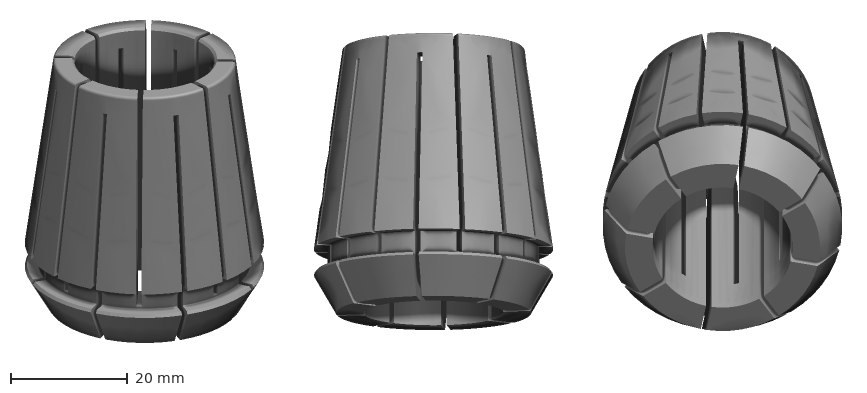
import cadquery as cq
import math

HEIGHT = 46.0
MAX_RADIUS = 41.0 / 2
BORE_RADIUS = 24.0 / 2
TAPER_ANGLE = 8.0
NOSE_ANGLE = 30.0

FLANGE_RIM_Z = 6.6
FLANGE_TOP_Z = 7.1
FLANGE_CHAMFER_WIDTH = 0.35
GROOVE_TOP_Z = 11.05
GROOVE_RADIUS = 18.12
GROOVE_FILLET = 0.25

RIM_FILLET = 0.55
BORE_CHAMFER = 0.4

SLOTS_PER_END = 8
SLOT_WIDTH = 0.95
BLADE_OVERRUN = 0.45
LOWER_SLOT_TOP_Z = 42.5
UPPER_SLOT_FLOOR_Z = 7.6


def taper_radius(z):
    """Outer radius of the long taper at height z."""
    return MAX_RADIUS - (z - GROOVE_TOP_Z) * math.tan(math.radians(TAPER_ANGLE))


def revolved_body():
    """Collet sleeve with its bore, groove and flange, still without slots."""
    nose_radius = MAX_RADIUS - FLANGE_RIM_Z * math.tan(math.radians(NOSE_ANGLE))
    profile = (
        cq.Workplane("XZ")
        .moveTo(BORE_RADIUS, 0)
        .lineTo(nose_radius, 0)
        .lineTo(MAX_RADIUS, FLANGE_RIM_Z)
        .lineTo(MAX_RADIUS - FLANGE_CHAMFER_WIDTH, FLANGE_TOP_Z)
        .lineTo(GROOVE_RADIUS + GROOVE_FILLET, FLANGE_TOP_Z)
        .radiusArc((GROOVE_RADIUS, FLANGE_TOP_Z + GROOVE_FILLET), GROOVE_FILLET)
        .lineTo(GROOVE_RADIUS, GROOVE_TOP_Z)
        .lineTo(MAX_RADIUS, GROOVE_TOP_Z)
        .lineTo(taper_radius(HEIGHT), HEIGHT)
        .lineTo(BORE_RADIUS + BORE_CHAMFER, HEIGHT)
        .lineTo(BORE_RADIUS, HEIGHT - BORE_CHAMFER)
        .close()
    )
    body = profile.revolve(360, (0, 0), (0, 1))
    outer_rim = body.faces(">Z").edges(cq.selectors.RadiusNthSelector(-1))
    return outer_rim.fillet(RIM_FILLET)


def radial_slots(bottom_z, top_z, first_angle):
    """Ring of equally spaced radial cutters between two heights."""
    cutters = cq.Workplane("XY")
    blade_length = MAX_RADIUS + BLADE_OVERRUN
    for index in range(SLOTS_PER_END):
        angle = first_angle + index * 360 / SLOTS_PER_END
        blade = (
            cq.Workplane("XY")
            .box(blade_length, SLOT_WIDTH, top_z - bottom_z, centered=(False, True, False))
            .translate((0, 0, bottom_z))
            .rotate((0, 0, 0), (0, 0, 1), angle)
        )
        cutters = cutters.add(blade)
    return cutters.combine()


half_pitch = 180 / SLOTS_PER_END
lower_slots = radial_slots(0, LOWER_SLOT_TOP_Z, 0)
upper_slots = radial_slots(UPPER_SLOT_FLOOR_Z, HEIGHT, half_pitch)

result = revolved_body().cut(lower_slots).cut(upper_slots)